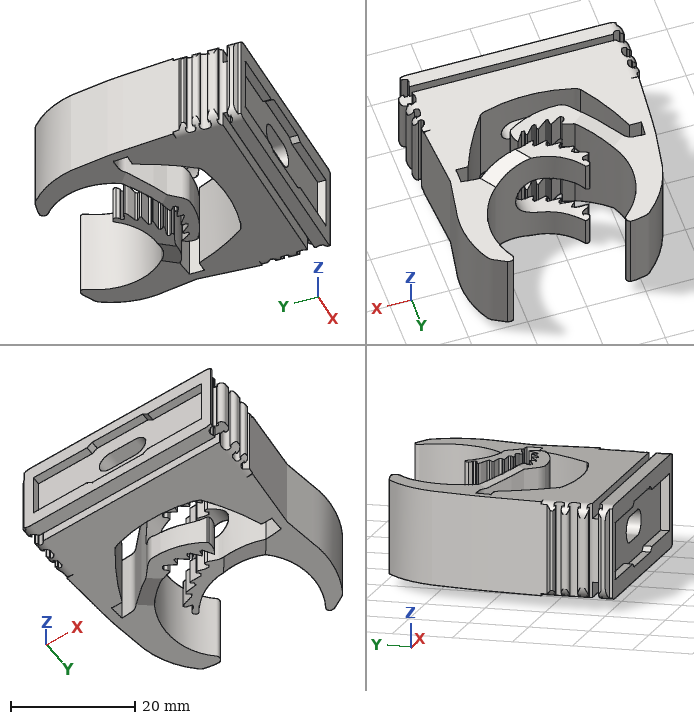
import cadquery as cq
import math


body_thick = 15.6
arm_thick = 20.0
wall_x = 18.25

rail_top = 11.9
rail_round = 2.2
left_tip = 19.17
right_tip = 19.35
left_rib_root = 10.87
right_rib_root = 11.0
rib_lip = 0.4
rib_flat = 0.25
groove_flat = 0.5
groove_extra_depth = 0.05

band_bottom = 2.4
band_width = 1.25
band_depth = 2.55
band_rib_y = 3.0
band_rib_clearance = 2.32
band_rib_root = 17.45

recess_depth = 1.45
recess_half_x = 16.45
recess_half_z = 4.75
recess_bulge_z = 5.45
bulge_flat_x = 4.95
bulge_base_x = 5.95

slot_length = 9.1
slot_height = 4.27
access_reach = 31.12
access_radius = 4.3

pocket_floor = 10.0
ledge_y = 20.95
notch_half_x = 15.7
notch_top_left_x = 15.5
notch_top = 23.55

left_hinge_in = (-9.8, 24.53)
left_hinge_out = (-12.1, 22.65)
right_hinge_in = (10.7, 26.35)
right_hinge_out = (12.55, 23.82)
left_ramp_length = 7.05
right_ramp_length = 6.72
arm_reach = 41.5

body_half = body_thick / 2
arm_half = arm_thick / 2


def slab(outline, thickness):
    """Extrude a closed XY outline symmetrically about Z = 0."""
    return outline.close().extrude(thickness / 2, both=True)


def clip_body():
    """Base and both jaws as one plate."""
    outline = (
        cq.Workplane("XY")
        .moveTo(-wall_x, 0)
        .lineTo(-wall_x, left_rib_root)
        .lineTo(-17.47, ledge_y)
        .lineTo(-17.2, 23.8)
        .lineTo(-16.05, 30.65)
        .threePointArc((-14.28, 35.1), (-11.3, 38.8))
        .threePointArc((-10.85, 39.18), (-10.3, 39.4))
        .lineTo(-8.6, 39.7)
        .lineTo(-7.65, 39.75)
        .threePointArc((-7.15, 39.25), (-7.3, 38.45))
        .threePointArc((-11.2, 30.0), left_hinge_in)
        .lineTo(*left_hinge_out)
        .threePointArc((-12.95, 23.3), (-13.9, 23.45))
        .lineTo(-notch_top_left_x, notch_top)
        .lineTo(-notch_half_x, ledge_y)
        .lineTo(-13.65, ledge_y)
        .threePointArc((-11.25, 15.85), (-8.45, 11.55))
        .threePointArc((-7.95, 11.2), (-7.35, 11.0))
        .threePointArc((0, pocket_floor), (7.35, 11.0))
        .threePointArc((7.95, 11.2), (8.45, 11.55))
        .threePointArc((11.25, 15.85), (13.65, ledge_y))
        .lineTo(notch_half_x, ledge_y)
        .lineTo(notch_half_x, notch_top)
        .lineTo(13.5, 23.8)
        .lineTo(*right_hinge_out)
        .lineTo(*right_hinge_in)
        .threePointArc((14.28, 34.6), (12.57, 40.55))
        .threePointArc((12.65, 41.25), (13.2, 41.5))
        .lineTo(13.7, 41.45)
        .lineTo(15.75, 40.35)
        .threePointArc((16.2, 40.05), (16.5, 39.67))
        .threePointArc((18.55, 33.15), (18.2, 28.65))
        .lineTo(17.3, 22.95)
        .lineTo(wall_x, right_rib_root)
        .lineTo(wall_x, 0)
    )
    return slab(outline, body_thick)


def thickness_envelope(hinge_in, hinge_out, along, ramp_length):
    """Side profile of an arm: body thickness at the hinge, full thickness past the ramp."""
    hinge_dir = (hinge_out[0] - hinge_in[0], hinge_out[1] - hinge_in[1], 0)
    plane = cq.Plane(origin=(*hinge_in, 0), xDir=(*along, 0), normal=hinge_dir)
    profile = [
        (0, body_half),
        (ramp_length, arm_half),
        (arm_reach, arm_half),
        (arm_reach, -arm_half),
        (ramp_length, -arm_half),
        (0, -body_half),
    ]
    return cq.Workplane(plane).polyline(profile).close().extrude(arm_reach, both=True)


def left_arm():
    """Hooked arm with its teeth facing up."""
    teeth = [
        (-4.85, 19.6),
        (-2.9, 19.05), (-3.05, 18.65), (-3.53, 18.15), (-3.53, 17.75), (-3.15, 17.47), (-2.75, 17.6),
        (-1.25, 18.5), (-1.05, 18.43), (-1.05, 17.45), (-0.7, 17.45),
        (1.05, 18.8), (1.3, 18.6), (1.15, 17.93), (1.4, 17.7), (1.85, 17.93),
        (3.07, 19.35), (3.3, 19.17), (3.3, 18.45), (3.78, 18.45),
        (4.95, 20.25),
    ]
    outline = (
        cq.Workplane("XY")
        .moveTo(*left_hinge_in)
        .threePointArc((-7.93, 22.25), (-5.7, 20.15))
        .polyline(teeth, includeCurrent=True)
        .threePointArc((5.48, 19.17), (5.5, 17.93))
        .lineTo(5.35, 17.6)
        .threePointArc((1.95, 15.95), (-2.05, 15.15))
        .lineTo(-3.78, 15.15)
        .threePointArc((-4.45, 15.4), (-5.05, 15.85))
        .lineTo(-6.75, 17.8)
        .lineTo(-8.7, 19.4)
        .lineTo(*left_hinge_out)
    )
    along = (
        left_hinge_in[1] - left_hinge_out[1],
        left_hinge_out[0] - left_hinge_in[0],
    )
    envelope = thickness_envelope(left_hinge_in, left_hinge_out, along, left_ramp_length)
    return slab(outline, arm_thick).intersect(envelope)


def right_arm():
    """Curved arm with its teeth facing down."""
    teeth = [
        (4.95, 21.5),
        (3.15, 20.8), (2.57, 20.8), (2.57, 21.1), (2.9, 21.5), (2.75, 21.83), (2.05, 21.8),
        (0.7, 21.4), (0.4, 21.6), (0.8, 21.95), (0.87, 22.25), (0.7, 22.55),
        (-1.5, 22.55), (-1.5, 22.8), (-1.05, 23.07), (-1.05, 23.57),
        (-3.15, 23.85), (-3.35, 24.1), (-2.82, 24.53), (-2.6, 24.78), (-3.0, 25.1),
        (-4.65, 25.6), (-5.15, 25.95), (-4.85, 26.3), (-4.35, 26.35), (-3.85, 26.55), (-3.78, 26.8),
        (-3.9, 27.1), (-4.2, 27.15), (-4.65, 27.7),
    ]
    outline = (
        cq.Workplane("XY")
        .moveTo(*right_hinge_in)
        .lineTo(*right_hinge_out)
        .threePointArc((9.15, 22.15), (5.5, 21.55))
        .polyline(teeth, includeCurrent=True)
        .threePointArc((-4.45, 28.3), (-3.78, 28.4))
        .threePointArc((4.03, 24.1), right_hinge_in)
    )
    along = (
        right_hinge_out[1] - right_hinge_in[1],
        right_hinge_in[0] - right_hinge_out[0],
    )
    envelope = thickness_envelope(right_hinge_in, right_hinge_out, along, right_ramp_length)
    return slab(outline, arm_thick).intersect(envelope)


def rib_groove(side, y, half_height):
    """Groove with a rounded floor in a side wall; side is -1 for left and +1 for right."""
    width = 2 * (half_height + groove_extra_depth)
    return (
        cq.Workplane("XY")
        .box(width, 2 * half_height, body_thick)
        .edges("|Z")
        .fillet(half_height - groove_flat / 2)
        .translate((side * wall_x, y, 0))
    )


def rib_head(side, y, half_height, tip_distance):
    """Mushroom-shaped rib that stands out from a side wall and overhangs the grooves."""
    foot_x = side * wall_x
    lip_x = side * (wall_x + rib_lip)
    tip_x = side * tip_distance
    flat = rib_flat / 2
    arc_x = lip_x + (tip_x - lip_x) * math.sin(math.pi / 4)
    arc_y = flat + (half_height - flat) * math.cos(math.pi / 4)
    outline = (
        cq.Workplane("XY")
        .moveTo(foot_x, y + half_height)
        .lineTo(lip_x, y + half_height)
        .threePointArc((arc_x, y + arc_y), (tip_x, y + flat))
        .lineTo(tip_x, y - flat)
        .threePointArc((arc_x, y - arc_y), (lip_x, y - half_height))
        .lineTo(foot_x, y - half_height)
    )
    return slab(outline, body_thick)


def end_profile(points):
    """Prism for the half ribs and half grooves with a slanted flank at the ends of a rail."""
    return slab(cq.Workplane("XY").polyline(points), body_thick)


def rail_waste():
    """Material outside the rounded long edges of the rails."""
    rounded = (
        cq.Workplane("XY")
        .box(left_tip + right_tip, rail_top, body_thick, centered=False)
        .edges("|Y")
        .fillet(rail_round)
        .translate((-left_tip, 0, -body_half))
    )
    block = cq.Workplane("XY").box(4 * wall_x, rail_top, 2 * body_thick, centered=(True, False, True))
    return block.cut(rounded)


def recess():
    """Shallow recess in the mounting face, wider in the middle."""
    half = [
        (-recess_half_x, recess_half_z),
        (-bulge_base_x, recess_half_z),
        (-bulge_flat_x, recess_bulge_z),
        (bulge_flat_x, recess_bulge_z),
        (bulge_base_x, recess_half_z),
        (recess_half_x, recess_half_z),
    ]
    mirrored = [(x, -z) for x, z in reversed(half)]
    return cq.Workplane("XZ").polyline(half + mirrored).close().extrude(-recess_depth)


def screw_slot():
    """Screw slot from the mounting face into the opening inside the ring."""
    return cq.Workplane("XZ").slot2D(slot_length, slot_height).extrude(-rail_top)


def access_slot():
    """Opening through both arms that lets a screwdriver reach the slot."""
    length = slot_length - slot_height + 2 * access_radius
    return cq.Workplane("XZ").slot2D(length, 2 * access_radius).extrude(-access_reach)


def face_bands():
    """Straight grooves across both flat faces, with the rib they run into cut down to match."""
    cutter = cq.Workplane("XY").box(4 * wall_x, band_width, band_depth, centered=(True, False, False))
    floor = body_half - band_depth
    rib_trim = (
        cq.Workplane("XY")
        .box(wall_x, band_rib_clearance, band_depth, centered=(False, True, False))
        .translate((band_rib_root, band_rib_y, floor))
    )
    upper = cutter.translate((0, band_bottom, floor)).union(rib_trim)
    return upper.union(upper.mirror("XY"))


body = clip_body()

left_grooves = [(8.92, 0.85), (6.4, 1.0), (3.0, 1.25)]
right_grooves = [(7.75, 0.8), (4.77, 1.0)]
left_heads = [(7.75, 0.65, 19.1), (4.77, 0.9, left_tip)]
right_heads = [(8.92, 0.65, 19.1), (6.4, 0.9, 19.2), (band_rib_y, 1.1, right_tip)]

upper_half_groove = [
    (wall_x, right_rib_root), (17.6, 10.38), (17.45, 10.13), (17.47, 9.7), (17.8, 9.35), (wall_x, 9.35),
]
lower_half_groove = [
    (wall_x, 2.3), (17.85, 2.3), (17.4, 1.95), (17.22, 1.4), (17.3, 0.87), (wall_x, 0.45),
]
upper_half_rib = [
    (-wall_x, left_rib_root), (-18.92, 10.2), (-18.92, 9.7), (-18.7, 9.4), (-wall_x, 9.4),
]
lower_half_rib = [
    (-wall_x, 2.2), (-18.85, 2.2), (-left_tip, 1.6), (-left_tip, 0.95), (-wall_x, 0.5),
]

for y, half_height in left_grooves:
    body = body.cut(rib_groove(-1, y, half_height))
for y, half_height in right_grooves:
    body = body.cut(rib_groove(1, y, half_height))
for points in (upper_half_groove, lower_half_groove):
    body = body.cut(end_profile(points))

for y, half_height, tip_distance in left_heads:
    body = body.union(rib_head(-1, y, half_height, tip_distance))
for y, half_height, tip_distance in right_heads:
    body = body.union(rib_head(1, y, half_height, tip_distance))
for points in (upper_half_rib, lower_half_rib):
    body = body.union(end_profile(points))

body = body.cut(rail_waste())

body = body.cut(face_bands()).cut(recess()).cut(screw_slot())

arms = left_arm().union(right_arm()).cut(access_slot())

result = body.union(arms)